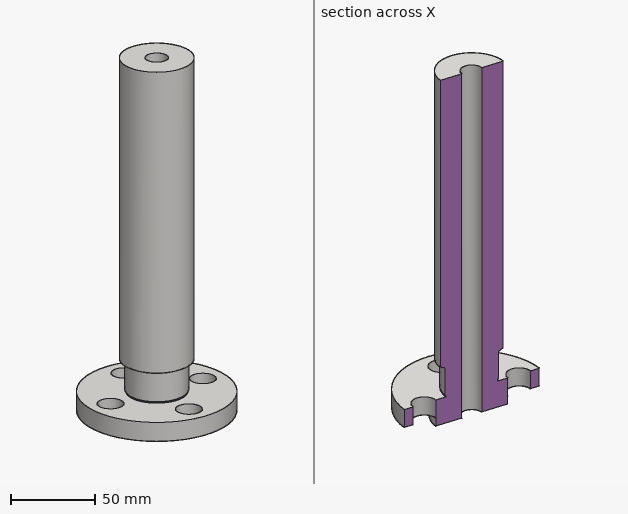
import cadquery as cq

total_height = 232.58
flange_diameter = 95.25

face_diameter = 50.8
face_height = 5.6
flange_thickness = 12.3
neck_diameter = 38.1
neck_height = 21.0
barrel_diameter = 44.45

root_bevel_width = 0.6
root_bevel_height = 0.6
root_groove_height = 0.6
shoulder_bevel_height = 1.6

bore_diameter = 13.9
bolt_hole_diameter = 15.875
bolt_circle_diameter = 66.7
bolt_hole_count = 4

flange_bottom = face_height
flange_top = flange_bottom + flange_thickness
root_groove_top = flange_top + root_groove_height
barrel_bottom = flange_top + neck_height


def make_body():
    """Revolve the stepped half profile about the Z axis."""
    neck_radius = neck_diameter / 2
    profile = [
        (0, 0),
        (face_diameter / 2, 0),
        (face_diameter / 2, flange_bottom),
        (flange_diameter / 2, flange_bottom),
        (flange_diameter / 2, flange_top),
        (neck_radius - root_bevel_width, flange_top),
        (neck_radius - root_bevel_width, root_groove_top),
        (neck_radius, root_groove_top + root_bevel_height),
        (neck_radius, barrel_bottom - shoulder_bevel_height),
        (barrel_diameter / 2, barrel_bottom),
        (barrel_diameter / 2, total_height),
        (0, total_height),
    ]
    return cq.Workplane("XZ").polyline(profile).close().revolve(360, (0, 0), (0, 1))


def cut_bore(body):
    """Drill the axial bore through the full height."""
    bore = cq.Workplane("XY").circle(bore_diameter / 2).extrude(total_height)
    return body.cut(bore)


def cut_bolt_holes(body):
    """Drill the ring of bolt holes through the flange, the first one on +X."""
    holes = (
        cq.Workplane("XY", origin=(0, 0, flange_bottom))
        .polarArray(bolt_circle_diameter / 2, 0, 360, bolt_hole_count)
        .circle(bolt_hole_diameter / 2)
        .extrude(flange_thickness)
    )
    return body.cut(holes)


result = cut_bolt_holes(cut_bore(make_body()))